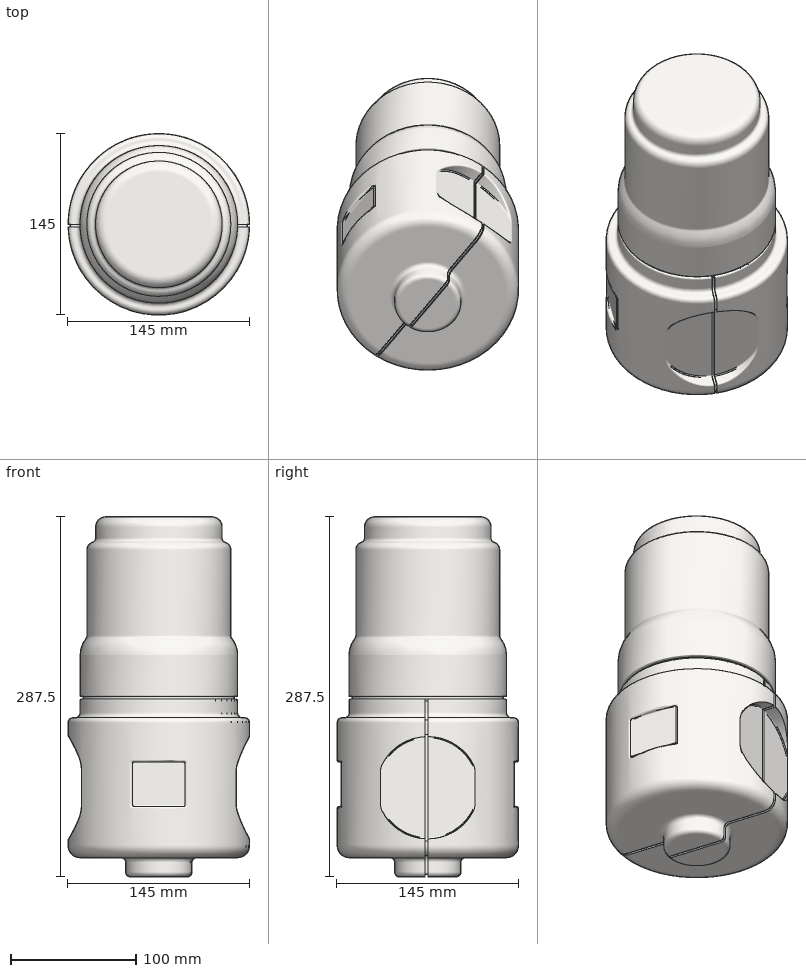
import cadquery as cq
import math

housing_radius = 72.5
housing_bottom = 15.2
housing_top = 127.0
housing_bottom_round = 9.8
housing_top_round = 4.0

boss_radius = 26.5
boss_round = 3.7
boss_root_round = 3.7

neck_radius = 63.0
neck_root_round = 3.7
neck_top = 142.0
neck_top_round = 1.5
groove_radius = 60.5
groove_width = 2.0

sleeve_radius = neck_radius
sleeve_bottom = neck_top + groove_width
sleeve_bottom_round = 0.5
sleeve_straight_top = 177.0
sleeve_round = 20.7
barrel_radius = 57.5
barrel_root_round = 4.0
barrel_straight_top = 261.0
barrel_round = 6.3
cap_radius = 50.5
cap_root_round = 3.5
cap_top = 287.5
cap_round = 8.3

grip_height = (housing_bottom + housing_top) / 2
grip_floor = 61.8
grip_radius = 40.8
grip_floor_round = 1.0
grip_rim_round = 1.2

window_height = 74.0
window_length = 42.0
window_width = 35.5
window_floor = 69.0
window_rim_round = 1.7
window_floor_round = 1.0
window_corner_round = 1.2

slot_width = 2.0
slot_depth = 1.7

clearance = 3.0

IN, OUT, UP, DOWN = (-1, 0), (1, 0), (0, 1), (0, -1)
ARC_MIDDLE = math.sqrt(0.5)


def rounded_corner(outline, center, radius, start, end):
    """Draw a quarter arc between two axis directions seen from its center."""
    (r, z) = center
    middle_r = r + radius * ARC_MIDDLE * (start[0] + end[0])
    middle_z = z + radius * ARC_MIDDLE * (start[1] + end[1])
    first = (r + radius * start[0], z + radius * start[1])
    last = (r + radius * end[0], z + radius * end[1])
    return outline.lineTo(*first).threePointArc((middle_r, middle_z), last)


def curved_shoulder(outline, lower_radius, lower_top, convex, upper_radius, concave):
    """Step in from one cylinder to a thinner one with two tangent arcs."""
    reach = convex + concave
    center_r = lower_radius - convex
    root_r = upper_radius + concave
    root_z = lower_top + math.sqrt(reach ** 2 - (root_r - center_r) ** 2)
    tilt = math.atan2(root_z - lower_top, root_r - center_r)
    meeting = (center_r + convex * math.cos(tilt), lower_top + convex * math.sin(tilt))
    convex_middle = (
        center_r + convex * math.cos(tilt / 2),
        lower_top + convex * math.sin(tilt / 2),
    )
    half_turn = math.pi + tilt / 2
    concave_middle = (
        root_r + concave * math.cos(half_turn),
        root_z + concave * math.sin(half_turn),
    )
    return (
        outline.lineTo(lower_radius, lower_top)
        .threePointArc(convex_middle, meeting)
        .threePointArc(concave_middle, (upper_radius, root_z))
    )


def revolve_outline(outline):
    return outline.close().revolve(360, (0, 0, 0), (0, 1, 0))


def lower_outline():
    """Half outline of the boss, housing and neck, up to the neck top at the axis."""
    outline = cq.Workplane("XZ").moveTo(0, 0)
    outline = rounded_corner(
        outline, (boss_radius - boss_round, boss_round), boss_round, DOWN, OUT)
    outline = rounded_corner(
        outline, (boss_radius + boss_root_round, housing_bottom - boss_root_round),
        boss_root_round, IN, UP)
    outline = rounded_corner(
        outline, (housing_radius - housing_bottom_round, housing_bottom + housing_bottom_round),
        housing_bottom_round, DOWN, OUT)
    outline = rounded_corner(
        outline, (housing_radius - housing_top_round, housing_top - housing_top_round),
        housing_top_round, OUT, UP)
    outline = rounded_corner(
        outline, (neck_radius + neck_root_round, housing_top + neck_root_round),
        neck_root_round, DOWN, IN)
    outline = rounded_corner(
        outline, (neck_radius - neck_top_round, neck_top - neck_top_round),
        neck_top_round, OUT, UP)
    return outline.lineTo(0, neck_top)


def upper_body():
    """Groove floor, sleeve, barrel and cap."""
    outline = cq.Workplane("XZ").moveTo(0, neck_top)
    outline = outline.lineTo(groove_radius, neck_top).lineTo(groove_radius, sleeve_bottom)
    outline = rounded_corner(
        outline, (sleeve_radius - sleeve_bottom_round, sleeve_bottom + sleeve_bottom_round),
        sleeve_bottom_round, DOWN, OUT)
    outline = curved_shoulder(
        outline, sleeve_radius, sleeve_straight_top, sleeve_round,
        barrel_radius, barrel_root_round)
    outline = curved_shoulder(
        outline, barrel_radius, barrel_straight_top, barrel_round,
        cap_radius, cap_root_round)
    outline = rounded_corner(
        outline, (cap_radius - cap_round, cap_top - cap_round), cap_round, OUT, UP)
    return revolve_outline(outline.lineTo(0, cap_top))


def grip_cutter(inset=0):
    """Round plug for the +X grip; an inset grows it into the body."""
    return (
        cq.Workplane("YZ", origin=(grip_floor - inset, 0, grip_height))
        .circle(grip_radius + inset)
        .extrude(2 * (housing_radius - grip_floor))
        .faces("<X")
        .edges()
        .fillet(grip_floor_round)
    )


def round_grip_rims(body):
    """Round the edges where the grip walls meet the housing."""
    inner = grip_floor + 2 * grip_floor_round
    outer = housing_radius + clearance
    low = grip_height - grip_radius
    high = grip_height + grip_radius
    right_rim = cq.selectors.BoxSelector((inner, -clearance, low), (outer, clearance, high))
    left_rim = cq.selectors.BoxSelector((-outer, -clearance, low), (-inner, clearance, high))
    return body.edges(right_rim + left_rim).fillet(grip_rim_round)


def cut_both_ends(body, cutter):
    """Cut with a tool and with its copy turned half a turn about Z."""
    return body.cut(cutter).cut(cutter.rotate((0, 0, 0), (0, 0, 1), 180))


def window_block(inner, outer):
    """Window-sized block on the +Y side between two distances from the axis."""
    return (
        cq.Workplane("XY")
        .box(window_length, outer - inner, window_width)
        .edges("|Y")
        .fillet(window_corner_round)
        .translate((0, (inner + outer) / 2, window_height))
    )


def window_cutter():
    """Window with a rounded rim and floor; the rim rounding dips below the floor at the sides."""
    outside = housing_radius + clearance
    rim_reach = window_floor - 2 * window_rim_round
    deep_floor = rim_reach - clearance
    blank = (
        cq.Workplane("XY", origin=(0, 0, window_height - window_width))
        .circle(housing_radius)
        .extrude(2 * window_width)
    )
    rim = cq.selectors.BoxSelector(
        (-window_length, rim_reach, window_height - window_width + clearance),
        (window_length, outside, window_height + window_width - clearance),
    )
    pocketed = blank.cut(window_block(deep_floor, outside))
    rounded = pocketed.edges(rim).edges("not |Y").fillet(window_rim_round)
    opening = window_block(window_floor, outside).faces("<Y").edges().fillet(window_floor_round)
    floor_fill = window_block(deep_floor, outside).cut(opening)
    return blank.cut(rounded).cut(floor_fill)


def parting_slot(outline):
    """Thin slab around a core that follows the lower body at the slot depth."""
    slab = (
        cq.Workplane("XZ")
        .rect(2 * (housing_radius + clearance), 2 * neck_top)
        .extrude(slot_width)
    )
    core = outline.mirrorY().offset2D(-slot_depth).extrude(slot_width)
    core = cut_both_ends(core, grip_cutter(slot_depth))
    neck_core = (
        cq.Workplane("XZ", origin=(0, 0, (housing_top + neck_top) / 2))
        .rect(2 * groove_radius, neck_top - housing_top)
        .extrude(slot_width)
    )
    return slab.cut(core).cut(neck_core)


lower = revolve_outline(lower_outline())
lower = cut_both_ends(lower, grip_cutter())
lower = round_grip_rims(lower)
lower = cut_both_ends(lower, window_cutter())
lower = lower.cut(parting_slot(lower_outline()))
result = lower.union(upper_body())